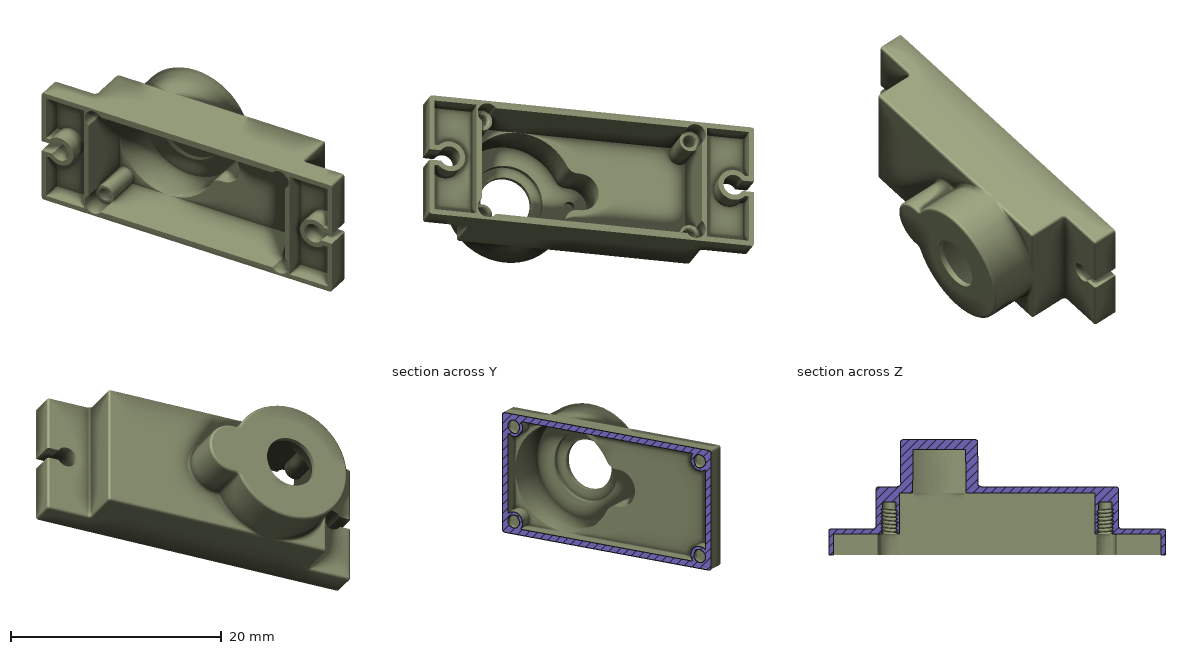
import cadquery as cq
import math

length = 32.0
height = 12.0
body_length = 23.0
flange_top = 2.5
body_top = 6.5
boss_top = 11.0
edge_radius = 0.25
level_tolerance = 0.01
root_radius = 0.3

wall = 0.65
boss_radius = height / 2
boss_x = -body_length / 2 + boss_radius
lobe_radius = 2.5
lobe_x = 0.5
neck_radius = 0.5
boss_roof = 1.0
boss_ceiling = boss_top - boss_roof
shaft_radius = 2.5
seat_radius = 3.5
seat_depth = 0.5
pin_x = 0.63
pin_radius = 0.5
pin_depth = 0.5

flange_wall = 0.5
partition = 0.5
keyhole_x = 14.0
keyhole_radius = 1.0
slot_width = 1.05

post_x = 10.25
post_z = 4.75
post_radius = 1.0
post_end = 2.0
screw_radius = 0.61
screw_depth = 3.0
thread_radius = 0.77
thread_pitch = 0.35
thread_width = 0.26
thread_overlap = 0.05
groove_start = 135.0

cavity_length = body_length - 2 * wall
cavity_height = height - 2 * wall


def box(x_min, x_max, z_size, y_from, y_to):
    """Block centred on Z = 0 between two X and two Y levels."""
    return (
        cq.Workplane("XY")
        .box(x_max - x_min, y_to - y_from, z_size, centered=(False, False, True))
        .translate((x_min, y_from, 0))
    )


def cylinder(x, z, radius, y_from, y_to):
    """Round bar along Y."""
    base = cq.Vector(x, y_from, z)
    return cq.Workplane(cq.Solid.makeCylinder(radius, y_to - y_from, base, cq.Vector(0, 1, 0)))


def boss_prism(inset, y_from, y_to):
    """Boss outline (circle running through two blends into a lobe), moved inwards by inset."""
    big = boss_radius - inset
    small = lobe_radius - inset
    blend = neck_radius + inset
    reach = boss_radius + neck_radius
    blend_z = lobe_radius + neck_radius
    blend_x = boss_x + math.sqrt(reach**2 - blend_z**2)

    touch_x = boss_x + (blend_x - boss_x) * big / reach
    touch_z = blend_z * big / reach
    to_axis = math.atan2(-blend_z, boss_x - blend_x)
    middle = (to_axis - math.pi / 2) / 2
    middle_x = blend_x + blend * math.cos(middle)
    middle_z = blend_z + blend * math.sin(middle)

    return (
        cq.Workplane("XZ", origin=(0, y_from, 0))
        .moveTo(touch_x, touch_z)
        .threePointArc((boss_x - big, 0), (touch_x, -touch_z))
        .threePointArc((middle_x, -middle_z), (blend_x, -small))
        .lineTo(lobe_x, -small)
        .threePointArc((lobe_x + small, 0), (lobe_x, small))
        .lineTo(blend_x, small)
        .threePointArc((middle_x, middle_z), (touch_x, touch_z))
        .close()
        .extrude(y_from - y_to)
    )


def housing():
    """Solid flange and body with rounded outer edges; only the open face stays sharp."""
    flange = box(-length / 2, length / 2, height, 0, flange_top)
    body = box(-body_length / 2, body_length / 2, height, 0, body_top)
    solid = flange.union(body)
    around_roots = cq.selectors.BoxSelector(
        (-body_length / 2 - edge_radius, flange_top - edge_radius, -height),
        (body_length / 2 + edge_radius, flange_top + edge_radius, height),
    )
    solid = solid.edges(around_roots).edges("|Z").fillet(root_radius)
    behind_open_face = cq.selectors.BoxSelector(
        (-length, edge_radius, -height),
        (length, boss_top, height),
    )
    outer_edges = solid.edges(behind_open_face).edges("|Y or >Y or <X or >X or >Z or <Z")
    return outer_edges.fillet(edge_radius)


def add_boss(solid):
    """Join the boss with a rounded rim and a rounded foot."""
    bar = boss_prism(0, body_top - edge_radius, boss_top)
    bar = bar.faces(">Y").edges().fillet(edge_radius)
    solid = solid.union(bar)
    in_body_top = cq.selectors.BoxSelector(
        (-length, body_top - level_tolerance, -height),
        (length, body_top + level_tolerance, height),
    )
    foot = solid.edges(in_body_top).edges("%CIRCLE")
    return foot.fillet(edge_radius)


def cavity():
    """Main cavity with the hollow of the boss, the shaft bore and the blind pin hole."""
    hollow = box(-cavity_length / 2, cavity_length / 2, cavity_height, 0, body_top - wall)
    hollow = hollow.union(boss_prism(wall, body_top - 2 * wall, boss_ceiling))
    hollow = hollow.union(cylinder(boss_x, 0, shaft_radius, boss_ceiling, boss_top))
    hollow = hollow.union(cylinder(boss_x, 0, seat_radius, boss_ceiling, boss_ceiling + seat_depth))
    return hollow.union(cylinder(pin_x, 0, pin_radius, boss_ceiling, boss_ceiling + pin_depth))


def keyhole(side, clearance, y_to):
    """Round hole opened to the flange end by a slot, enlarged all round by clearance."""
    x = side * keyhole_x
    hole = cylinder(x, 0, keyhole_radius + clearance, 0, y_to)
    x_min, x_max = sorted((x, side * length / 2))
    return hole.union(box(x_min, x_max, slot_width + 2 * clearance, 0, y_to))


def flange_pocket(side):
    """Pocket under one flange, leaving a wall around the keyhole."""
    inner = side * (cavity_length / 2 + partition)
    outer = side * (length / 2 - flange_wall)
    x_min, x_max = sorted((inner, outer))
    pocket = box(x_min, x_max, height - 2 * flange_wall, 0, flange_top - flange_wall)
    return pocket.cut(keyhole(side, flange_wall, flange_top))


def screw_hole():
    """Threaded screw hole of the post at +X, +Z: a bore with a helical V groove."""
    bore = cylinder(post_x, post_z, screw_radius, post_end, post_end + screw_depth)
    turns = math.floor(screw_depth / thread_pitch)
    helix = cq.Wire.makeHelix(thread_pitch, turns * thread_pitch, screw_radius)
    root = screw_radius - thread_overlap
    slope = (thread_width / 2) / (thread_radius - screw_radius)
    half_width = slope * (thread_radius - root)
    groove = (
        cq.Workplane("XZ")
        .moveTo(root, -half_width)
        .lineTo(thread_radius, 0)
        .lineTo(root, half_width)
        .close()
        .sweep(cq.Workplane(helix), isFrenet=True)
    )
    groove = groove.rotate((0, 0, 0), (0, 0, 1), groove_start)
    groove = groove.rotate((0, 0, 0), (1, 0, 0), -90)
    return bore.union(groove.translate((post_x, post_end - thread_pitch, post_z)))


def add_post(solid, x, z):
    """Add one screw post and hollow the wall in front of its free end."""
    solid = solid.union(cylinder(x, z, post_radius, post_end, body_top - edge_radius))
    return solid.cut(cylinder(x, z, post_radius, 0, post_end))


result = add_boss(housing()).cut(cavity())
for side in (-1, 1):
    result = result.cut(flange_pocket(side))
    result = result.cut(keyhole(side, 0, flange_top + root_radius))
    for side_z in (-1, 1):
        result = add_post(result, side * post_x, side_z * post_z)

screw = screw_hole()
screws = [screw, screw.mirror("YZ"), screw.mirror("XY"), screw.mirror("YZ").mirror("XY")]
for tool in screws:
    result = result.cut(tool)

result = result.solids()